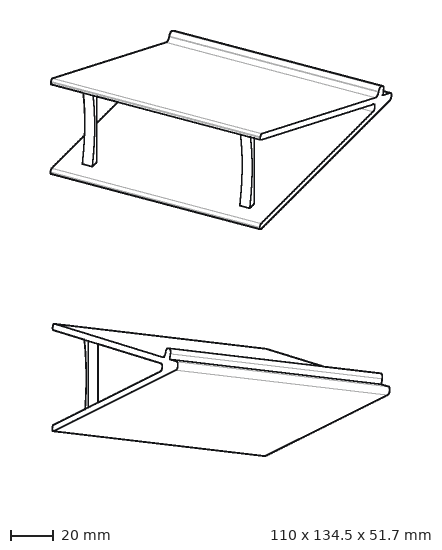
import cadquery as cq
import math

WIDTH = 110.0
DEPTH = 134.5
HEIGHT = 51.7
TILT = math.radians(20)
PLATE_THICKNESS = 3.1
FRONT_EDGE_RADIUS = 1.3
BACK_ROUND_RADIUS = 2.0
INNER_ROOT_RADIUS = 1.9

LIP_START = 8.1
LIP_HEIGHT = 4.8
LIP_WIDTH = 5.5
LIP_TOP_RADIUS = 2.2
LIP_FRONT_FOOT_RADIUS = 2.4

LEG_WIDTH = 5.2
LEG_SIDE_INSET = 11.0
LEG_FRONT = 11.2
LEG_BACK = 15.7
LEG_WAIST = 2.2

SLOPE_START_Y = DEPTH - BACK_ROUND_RADIUS * (1 - math.sin(TILT))
SLOPE_START_Z = BACK_ROUND_RADIUS * (1 + math.cos(TILT))
CORNER_CENTRE_Z = HEIGHT - FRONT_EDGE_RADIUS
SLOPE_LENGTH = FRONT_EDGE_RADIUS + (
    CORNER_CENTRE_Z - SLOPE_START_Z + FRONT_EDGE_RADIUS * math.cos(TILT)
) / math.sin(TILT)


def slope_point(along, above):
    """YZ point at a distance along the tilted top face and square above it."""
    return (
        SLOPE_START_Y - along * math.cos(TILT) + above * math.sin(TILT),
        SLOPE_START_Z + along * math.sin(TILT) + above * math.cos(TILT),
    )


def underside_z(y):
    """Height of the tilted plate's lower face at a given Y."""
    surface_z = SLOPE_START_Z + (SLOPE_START_Y - y) * math.tan(TILT)
    return surface_z - PLATE_THICKNESS / math.cos(TILT)


def inner_root_arc():
    """Lower end, middle and upper end of the arc between the two plates."""
    r = INNER_ROOT_RADIUS
    apex_y = SLOPE_START_Y + (underside_z(SLOPE_START_Y) - PLATE_THICKNESS) / math.tan(TILT)
    centre_y = apex_y - r / math.tan(TILT / 2)
    centre_z = PLATE_THICKNESS + r
    half = TILT / 2
    lower = (centre_y, PLATE_THICKNESS)
    middle = (centre_y + r * math.cos(half), centre_z + r * math.sin(half))
    upper = (centre_y + r * math.sin(TILT), centre_z + r * math.cos(TILT))
    return lower, middle, upper


def make_stand():
    """Base, tilted plate and lip as one profile extruded across the width."""
    r = BACK_ROUND_RADIUS
    root_lower, root_middle, root_upper = inner_root_arc()
    plate_top = slope_point(SLOPE_LENGTH, 0)
    plate_bottom = slope_point(SLOPE_LENGTH, -PLATE_THICKNESS)
    lip_back_top = slope_point(LIP_START, LIP_HEIGHT)
    lip_front_top = slope_point(LIP_START + LIP_WIDTH, LIP_HEIGHT)
    lip_front_foot = slope_point(LIP_START + LIP_WIDTH, 0)
    stand = (
        cq.Workplane("YZ")
        .moveTo(0, 0)
        .lineTo(DEPTH - r, 0)
        .threePointArc((DEPTH, r), (SLOPE_START_Y, SLOPE_START_Z))
        .lineTo(*slope_point(LIP_START, 0))
        .lineTo(*lip_back_top)
        .lineTo(*lip_front_top)
        .lineTo(*lip_front_foot)
        .lineTo(*plate_top)
        .lineTo(*plate_bottom)
        .lineTo(*root_upper)
        .threePointArc(root_middle, root_lower)
        .lineTo(0, PLATE_THICKNESS)
        .close()
        .extrude(WIDTH / 2, both=True)
    )
    front_corners = [(0, 0), (0, PLATE_THICKNESS), plate_top, plate_bottom]
    stand = round_corners(stand, front_corners, FRONT_EDGE_RADIUS)
    stand = round_corners(stand, [lip_front_foot], LIP_FRONT_FOOT_RADIUS)
    return round_corners(stand, [lip_back_top, lip_front_top], LIP_TOP_RADIUS)


def round_corners(body, corners, radius):
    """Fillet the edges that run along X through the given YZ corners."""
    for y, z in corners:
        edge = cq.selectors.NearestToPointSelector((0, y, z))
        body = body.edges("|X").edges(edge).fillet(radius)
    return body


def make_leg(centre_x):
    """Upright leg whose front face is a shallow hollow arc."""
    top_z = underside_z(LEG_FRONT)
    waist = (LEG_BACK - LEG_WAIST, (PLATE_THICKNESS + top_z) / 2)
    leg = (
        cq.Workplane("YZ")
        .moveTo(LEG_BACK, PLATE_THICKNESS)
        .lineTo(LEG_FRONT, PLATE_THICKNESS)
        .threePointArc(waist, (LEG_FRONT, top_z))
        .lineTo(LEG_BACK, underside_z(LEG_BACK))
        .close()
        .extrude(LEG_WIDTH / 2, both=True)
    )
    return leg.translate((centre_x, 0, 0))


result = make_stand()
leg_offset = WIDTH / 2 - LEG_SIDE_INSET - LEG_WIDTH / 2
for side in (-1, 1):
    result = result.union(make_leg(side * leg_offset))